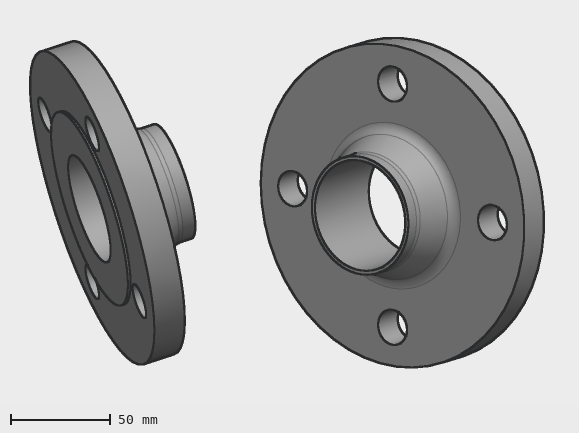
import cadquery as cq
import math

flange_diameter = 165.0
total_length = 45.0
raised_face_diameter = 102.0
raised_face_height = 1.5
flange_thickness = 16.5
bore_diameter = 56.5

neck_diameter = 60.4
neck_straight_length = 8.1
hub_diameter = 77.2
hub_fillet_radius = 6.0
neck_fillet_radius = 6.0

bolt_count = 4
bolt_circle_diameter = 125.0
bolt_hole_diameter = 18.0

match_tolerance = 0.002

flange_back = raised_face_height + flange_thickness
cone_end = total_length - neck_straight_length


def make_blank():
    """Raised face, flange plate and tapered neck as one turned body."""
    profile = (
        cq.Workplane("XY")
        .lineTo(raised_face_diameter / 2, 0)
        .lineTo(raised_face_diameter / 2, raised_face_height)
        .lineTo(flange_diameter / 2, raised_face_height)
        .lineTo(flange_diameter / 2, flange_back)
        .lineTo(hub_diameter / 2, flange_back)
        .lineTo(neck_diameter / 2, cone_end)
        .lineTo(neck_diameter / 2, total_length)
        .lineTo(0, total_length)
        .close()
    )
    return profile.revolve(360, (0, 0, 0), (0, 1, 0))


def round_circle_edge(body, diameter, position, fillet_radius):
    """Fillet the circular edge of the given diameter at a Y position."""
    ring = [
        edge
        for edge in body.edges("%CIRCLE").vals()
        if math.isclose(edge.radius(), diameter / 2, abs_tol=match_tolerance)
        and math.isclose(edge.Center().y, position, abs_tol=match_tolerance)
    ]
    return body.newObject(ring).fillet(fillet_radius)


def make_bolt_holes():
    """Through holes on the bolt circle, the first one on the X axis."""
    return (
        cq.Workplane("XZ")
        .polarArray(bolt_circle_diameter / 2, 0, 360, bolt_count)
        .circle(bolt_hole_diameter / 2)
        .extrude(-flange_back)
    )


def make_bore():
    """Straight bore through the whole part."""
    return cq.Workplane("XZ").circle(bore_diameter / 2).extrude(-total_length)


body = make_blank()
body = round_circle_edge(body, hub_diameter, flange_back, hub_fillet_radius)
body = round_circle_edge(body, neck_diameter, cone_end, neck_fillet_radius)
result = body.cut(make_bolt_holes()).cut(make_bore())